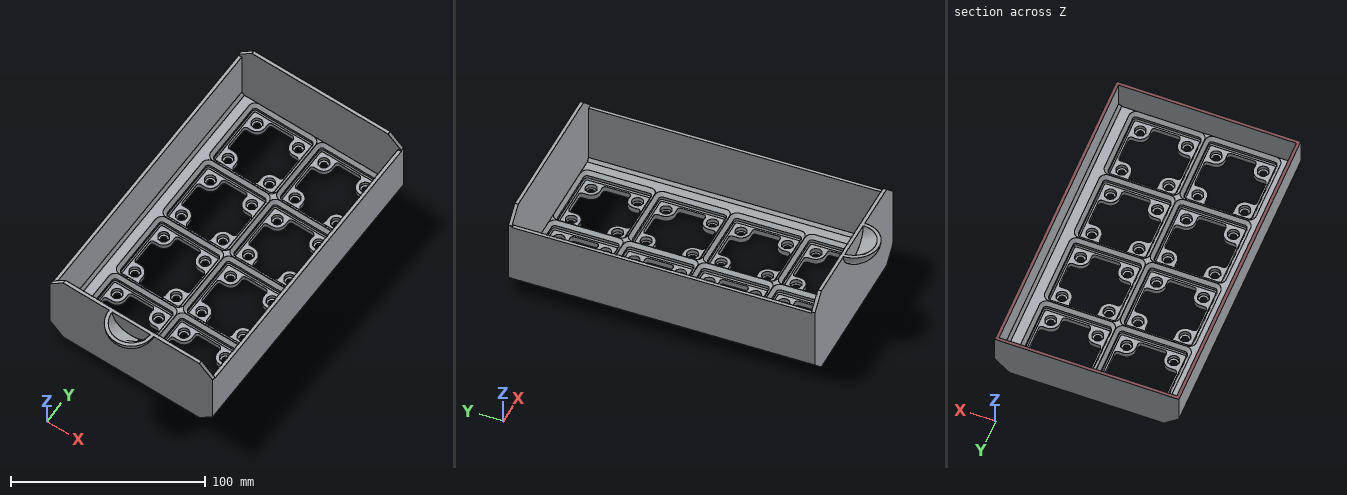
import cadquery as cq

width = 102.3
length = 172.0
height = 52.8
wall = 2.0
corner_chamfer = 8.4
side_drop = 9.3
floor_slope = 1.7

columns = 2
rows = 4
pitch = 42.0
socket_size = 41.8
socket_corner_radius = 3.9
upper_taper = 2.0
straight_depth = 1.7
lower_taper = 0.7

plate_thickness = 3.3
window_size = 34.2
window_corner_radius = 1.5
pad_radius = 5.2
hole_offset = 13.0
magnet_diameter = 6.1
magnet_depth = 2.5
screw_diameter = 3.5

scoop_radius = 14.0
scoop_depth = 15.8
scoop_steep_depth = 6.9
scoop_rim_width = 2.0

inner_length = length - 2 * wall
inner_half_width = width / 2 - wall
floor_z = plate_thickness + lower_taper + straight_depth + upper_taper


def make_shell():
    """Chamfered box, hollowed between its end plates, with lowered side walls."""
    body = (
        cq.Workplane("XY")
        .box(width, length, height, centered=(True, True, False))
        .edges("|Y")
        .chamfer(corner_chamfer)
    )
    cavity = (
        cq.Workplane("XY")
        .workplane(offset=floor_z)
        .box(2 * inner_half_width, inner_length, height, centered=(True, True, False))
        .edges("|Y and <Z")
        .chamfer(floor_slope)
    )
    side_gap = (
        cq.Workplane("XY")
        .workplane(offset=height - side_drop)
        .rect(width, inner_length)
        .extrude(side_drop)
    )
    return body.cut(cavity).cut(side_gap)


def rounded_square(size, corner_radius, z):
    """Square outline with rounded corners at height z, ready to extrude."""
    outline = cq.Sketch().rect(size, size).vertices().fillet(corner_radius)
    return cq.Workplane("XY").workplane(offset=z).placeSketch(outline)


def make_socket():
    """Stepped socket cutter: short taper, straight wall, then a wide taper."""
    middle_size = socket_size - 2 * upper_taper
    middle_radius = socket_corner_radius - upper_taper
    straight_z = plate_thickness + lower_taper
    upper = rounded_square(socket_size, socket_corner_radius, floor_z).extrude(-upper_taper, taper=45)
    middle = rounded_square(middle_size, middle_radius, straight_z).extrude(straight_depth)
    lower = rounded_square(middle_size, middle_radius, straight_z).extrude(-lower_taper, taper=45)
    return upper.union(middle).union(lower)


def make_window():
    """Through opening: a square less a round-cornered magnet pad at each corner."""
    pad_half = window_size / 2 - (hole_offset - pad_radius)
    square = cq.Workplane("XY").rect(window_size, window_size).extrude(plate_thickness)
    pads = (
        cq.Workplane("XY")
        .rect(window_size, window_size, forConstruction=True)
        .vertices()
        .rect(2 * pad_half, 2 * pad_half)
        .extrude(plate_thickness)
        .edges("|Z")
        .fillet(pad_radius)
    )
    window = square.cut(pads)
    outer_corners = window.faces("<X or >X or <Y or >Y").edges("|Z")
    return outer_corners.fillet(window_corner_radius)


def make_holes():
    """Magnet recesses, each with a screw hole through the plate below."""
    spacing = 2 * hole_offset
    screws = (
        cq.Workplane("XY")
        .rarray(spacing, spacing, 2, 2)
        .circle(screw_diameter / 2)
        .extrude(plate_thickness)
    )
    magnets = (
        cq.Workplane("XY")
        .workplane(offset=plate_thickness - magnet_depth)
        .rarray(spacing, spacing, 2, 2)
        .circle(magnet_diameter / 2)
        .extrude(magnet_depth)
    )
    return screws.union(magnets)


def make_scoop():
    """Half of a pointed bowl with a round channel sloping down to the end plate."""
    bowl = (
        cq.Workplane("XZ")
        .moveTo(0, height)
        .lineTo(scoop_radius, height)
        .bezier(
            [(scoop_radius, height - scoop_steep_depth), (0, height - scoop_depth)],
            includeCurrent=True,
        )
        .close()
        .revolve(180, (0, 0, 0), (0, -1, 0))
    )
    channel_radius = scoop_radius - scoop_rim_width
    channel_rim = cq.Wire.makeCircle(channel_radius, cq.Vector(0, 0, height), cq.Vector(0, 0, 1))
    sweep = cq.Vector(0, height, -height)
    channel = cq.Solid.extrudeLinear(channel_rim, [], sweep)
    return bowl.cut(cq.Workplane(channel)).translate((0, -length / 2, 0))


cell_cutter = make_socket().union(make_window()).union(make_holes()).val()
cells = (
    cq.Workplane("XY")
    .rarray(pitch, pitch, columns, rows)
    .eachpoint(lambda place: cell_cutter.moved(place), combine=False)
)

result = make_shell().union(make_scoop())
for cell in cells.vals():
    result = result.cut(cq.Workplane(cell))